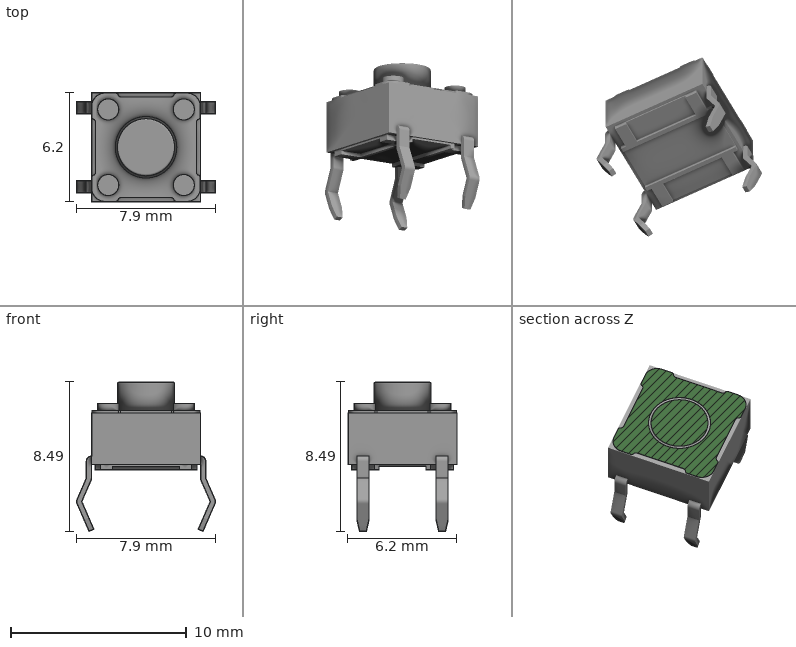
import cadquery as cq
import math

body_bottom = 0.3
body_top = 3.235
cover_top = 3.38
nub_top = 3.78
button_top = 4.985
lead_tip_z = -3.5

body_size = 6.2

foot_half = 2.9
foot_post_half_x = 2.6
foot_post_inner_x = 1.9
rail_outer_y = 1.58
rail_inner_y = 1.33
relief_height = 0.2

cover_half = 3.08
cover_corner_radius = 0.74
notch_depth = 0.22
notch_half_top = 1.725
notch_round = 0.15
notch_half_floor = 1.445
cover_hole_diameter = 3.5

button_diameter = 3.25
button_edge_radius = 0.1
button_base_radius = 0.1
nub_diameter = 1.2
nub_offset = 2.15

lead_thickness = 0.3
lead_width = 0.7
lead_tip_width = 0.4
lead_offset_y = 2.25
lead_top_z = 0.78
lead_bend_z = -0.48
lead_reach = 3.95
lead_bend_angle = math.radians(23.5)
lead_taper_length = 0.71


def block(size_x, size_y, bottom, top):
    """Box centred on the Z axis between two heights."""
    return cq.Workplane("XY").workplane(offset=bottom).rect(size_x, size_y).extrude(top - bottom)


def disc(diameter, bottom, top, x=0, y=0):
    """Upright cylinder between two heights."""
    return cq.Workplane("XY", origin=(x, y, bottom)).circle(diameter / 2).extrude(top - bottom)


def make_feet():
    """Corner posts joined by two rails along X, with a thin web left between them."""
    feet = block(2 * foot_post_half_x, 2 * foot_half, 0, body_bottom)
    feet = feet.union(block(2 * foot_half, 2 * rail_outer_y, 0, body_bottom))
    feet = feet.cut(block(2 * foot_half, 2 * rail_inner_y, 0, relief_height))
    gap_depth = foot_half - rail_outer_y
    gap = block(2 * foot_post_inner_x, gap_depth, 0, relief_height)
    for side in (-1, 1):
        feet = feet.cut(gap.translate((0, side * (rail_outer_y + gap_depth / 2), 0)))
    return feet


def make_edge_notch():
    """Cutter for the shallow notch in the +Y edge of the cover, with rounded lips."""
    floor_y = cover_half - notch_depth
    round_x = notch_half_top - notch_round
    round_y = cover_half - notch_round
    diagonal = notch_round * math.sqrt(0.5)
    return (
        cq.Workplane("XY", origin=(0, 0, body_top))
        .moveTo(-notch_half_top, cover_half)
        .threePointArc((-notch_half_top + diagonal, round_y + diagonal), (-round_x, round_y))
        .lineTo(-notch_half_floor, floor_y)
        .lineTo(notch_half_floor, floor_y)
        .lineTo(round_x, round_y)
        .threePointArc((notch_half_top - diagonal, round_y + diagonal), (notch_half_top, cover_half))
        .close()
        .extrude(cover_top - body_top)
    )


def make_cover():
    """Rounded square plate with a notch in each edge and a clearance hole for the button."""
    cover = block(2 * cover_half, 2 * cover_half, body_top, cover_top)
    cover = cover.edges("|Z").fillet(cover_corner_radius)
    notch = make_edge_notch()
    for quarter in range(4):
        cover = cover.cut(notch.rotate((0, 0, 0), (0, 0, 1), 90 * quarter))
    return cover.cut(disc(cover_hole_diameter, body_top, cover_top))


def make_button():
    """Round plunger with a softened top edge and a concave flare at its base."""
    radius = button_diameter / 2
    flare = button_base_radius
    edge = button_edge_radius
    return (
        cq.Workplane("XZ")
        .moveTo(0, body_top)
        .lineTo(radius + flare, body_top)
        .radiusArc((radius, body_top + flare), flare)
        .lineTo(radius, button_top - edge)
        .radiusArc((radius - edge, button_top), -edge)
        .lineTo(0, button_top)
        .close()
        .revolve(360, (0, 0), (0, 1))
    )


def make_lead():
    """Kinked lead strip on the -X side, centred on Y = 0, with a tapered tip."""
    thick = lead_thickness
    sin_a = math.sin(lead_bend_angle)
    cos_a = math.cos(lead_bend_angle)
    inner_x = -body_size / 2
    outer_x = inner_x - thick

    bend_x, bend_z = outer_x, lead_bend_z
    elbow_x = thick - lead_reach
    slope_length = (bend_x + thick * cos_a - elbow_x) / sin_a
    elbow_z = bend_z - slope_length * cos_a - thick * sin_a
    leg_length = (elbow_z - thick * sin_a - lead_tip_z) / cos_a
    run_x = leg_length * sin_a
    run_z = -leg_length * cos_a

    half_angle = lead_bend_angle / 2
    diagonal = thick * math.sqrt(0.5)
    shoulder_z = lead_top_z - thick
    strip = (
        cq.Workplane("XZ")
        .moveTo(inner_x, lead_top_z)
        .threePointArc((inner_x - diagonal, shoulder_z + diagonal), (outer_x, shoulder_z))
        .lineTo(bend_x, bend_z)
        .lineTo(elbow_x - thick * cos_a, elbow_z + thick * sin_a)
        .threePointArc((elbow_x - thick, elbow_z), (elbow_x - thick * cos_a, elbow_z - thick * sin_a))
        .lineTo(elbow_x - thick * cos_a + run_x, elbow_z - thick * sin_a + run_z)
        .lineTo(elbow_x + run_x, elbow_z + run_z)
        .lineTo(elbow_x, elbow_z)
        .lineTo(bend_x + thick * cos_a, bend_z - thick * sin_a)
        .threePointArc(
            (bend_x + thick * math.cos(half_angle), bend_z - thick * math.sin(half_angle)),
            (inner_x, bend_z),
        )
        .close()
        .extrude(lead_width / 2, both=True)
    )

    tip_plane = cq.Plane(
        origin=(elbow_x + run_x, 0, elbow_z + run_z),
        xDir=(0, 1, 0),
        normal=(-cos_a, 0, -sin_a),
    )
    for side in (-1, 1):
        wedge = (
            cq.Workplane(tip_plane)
            .moveTo(side * lead_tip_width / 2, 0)
            .lineTo(side * lead_width / 2, 0)
            .lineTo(side * lead_width / 2, -lead_taper_length)
            .close()
            .extrude(thick)
        )
        strip = strip.cut(wedge)
    return strip


def build():
    part = block(body_size, body_size, body_bottom, body_top)
    part = part.union(make_feet()).union(make_cover()).union(make_button())
    for x in (-nub_offset, nub_offset):
        for y in (-nub_offset, nub_offset):
            part = part.union(disc(nub_diameter, cover_top, nub_top, x, y))
    left_lead = make_lead()
    for lead in (left_lead, left_lead.mirror("YZ")):
        for y in (-lead_offset_y, lead_offset_y):
            part = part.union(lead.translate((0, y, 0)))
    return part


result = build()